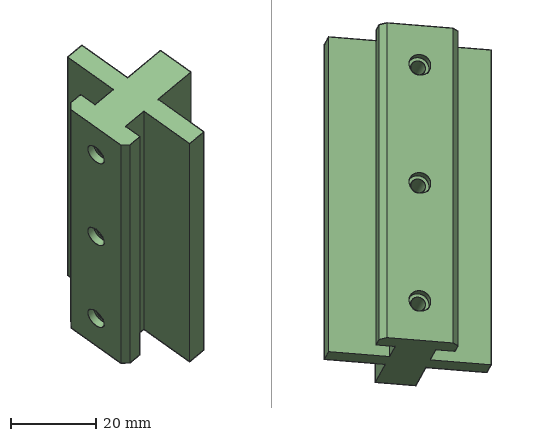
import cadquery as cq

length = 80.0
wing_span = 39.0
depth = 27.6

stem_width = 9.8
flange_width = 19.0
flange_thickness = 5.0
flange_chamfer = 1.5
wing_front = 11.3
wing_thickness = 5.0

hole_diameter = 3.5
counterbore_diameter = 5.2
counterbore_depth = 2.0
hole_end_distance = 10.0


def bar(width, y_front, thickness):
    """Full-length bar centred on X, starting at the given Y."""
    return cq.Workplane("XY").box(width, thickness, length, centered=(True, False, False)).translate(
        (0, y_front, 0)
    )


def bore(diameter, bore_depth, height):
    """Cylinder entering the front face along +Y."""
    return cq.Workplane(
        cq.Solid.makeCylinder(diameter / 2, bore_depth, cq.Vector(0, 0, height), cq.Vector(0, 1, 0))
    )


stem = bar(stem_width, 0, depth)
wings = bar(wing_span, wing_front, wing_thickness)
flange = bar(flange_width, 0, flange_thickness).faces("<Y").edges("|Z").chamfer(flange_chamfer)
result = stem.union(wings).union(flange)

for hole_height in (hole_end_distance, length / 2, length - hole_end_distance):
    result = result.cut(bore(hole_diameter, depth, hole_height))
    result = result.cut(bore(counterbore_diameter, counterbore_depth, hole_height))